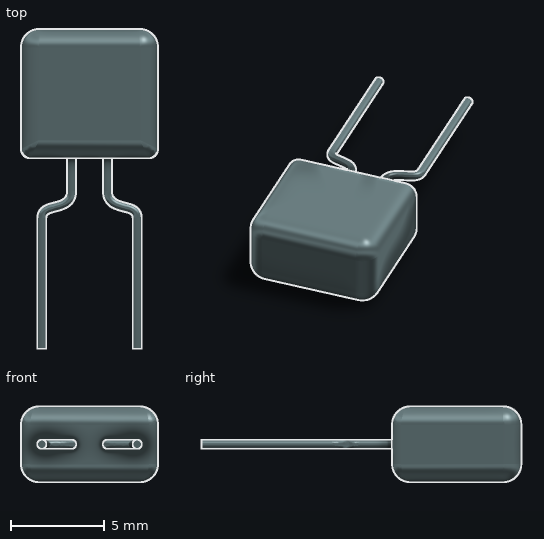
import cadquery as cq

HOUSING_WIDTH = 7.36
HOUSING_DEPTH = 6.95
HOUSING_HEIGHT = 4.08
MAIN_RADIUS = 1.0
FRONT_CORNER_RADIUS = 0.5

OVERALL_LENGTH = 17.16
LEAD_DIAMETER = 0.5
LEAD_INNER_X = 0.96
LEAD_OUTER_X = 2.55
LEAD_ROOT_LENGTH = 1.75
LEAD_TAIL_LENGTH = 7.0

BEND_SAG = 0.1

FRONT_FACE_Y = -HOUSING_DEPTH / 2
LEAD_TIP_Y = FRONT_FACE_Y - (OVERALL_LENGTH - HOUSING_DEPTH)
BEND_START_Y = FRONT_FACE_Y - LEAD_ROOT_LENGTH
BEND_END_Y = LEAD_TIP_Y + LEAD_TAIL_LENGTH


def make_housing():
    """Block with large rounded edges and tighter upright corners at the front."""
    block = cq.Workplane("XY").box(HOUSING_WIDTH, HOUSING_DEPTH, HOUSING_HEIGHT)
    rounded = block.edges("|Z and >Y").fillet(MAIN_RADIUS)
    rounded = rounded.faces("<Z or >Z").edges().fillet(MAIN_RADIUS)
    return rounded.edges("|Z and <Y").fillet(FRONT_CORNER_RADIUS)


def make_lead(side):
    """Bent wire on the +X (side = 1) or -X (side = -1) half."""
    root_x = side * LEAD_INNER_X
    tail_x = side * LEAD_OUTER_X
    bend_middle = ((root_x + tail_x) / 2, (BEND_START_Y + BEND_END_Y) / 2 - BEND_SAG)
    straight_out = (0, -1)

    path = (
        cq.Workplane("XY")
        .moveTo(root_x, FRONT_FACE_Y)
        .lineTo(root_x, BEND_START_Y)
        .spline(
            [bend_middle, (tail_x, BEND_END_Y)],
            tangents=[straight_out, straight_out],
            includeCurrent=True,
        )
        .lineTo(tail_x, LEAD_TIP_Y)
    )
    section = cq.Workplane("XZ", origin=(root_x, FRONT_FACE_Y, 0)).circle(LEAD_DIAMETER / 2)
    return section.sweep(path)


housing = make_housing()
leads = [make_lead(side) for side in (-1, 1)]

result = cq.Compound.makeCompound([housing.val(), *[lead.val() for lead in leads]])